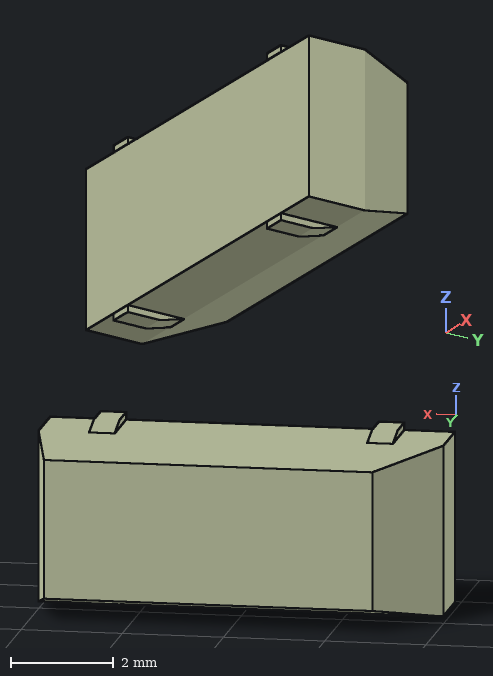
import cadquery as cq
import math

length = 8.0
depth = 2.5
height = 3.4
block_depth = 1.3
draft_angle = 15.0
bevel_angle = 45.0

overall_height = 3.7
pad_width = 0.5
pad_pitch = 5.5
pad_center_x = length / 2

draft_slope = math.tan(math.radians(draft_angle))
bevel_slope = math.tan(math.radians(bevel_angle))
pad_thickness = (overall_height - height) / 2


def make_housing():
    """Intersect the plan outline with the side outline, each tapered behind the block."""
    cap_depth = depth - block_depth
    draft_inset = cap_depth * draft_slope
    bevel_inset = cap_depth * bevel_slope
    half_height = height / 2

    plan = (
        cq.Workplane("XY")
        .polyline([
            (0, 0),
            (length, 0),
            (length, block_depth),
            (length - draft_inset, depth),
            (bevel_inset, depth),
            (0, block_depth),
        ])
        .close()
        .extrude(half_height, both=True)
    )
    side = (
        cq.Workplane("YZ")
        .polyline([
            (0, -half_height),
            (block_depth, -half_height),
            (depth, draft_inset - half_height),
            (depth, half_height - draft_inset),
            (block_depth, half_height),
            (0, half_height),
        ])
        .close()
        .extrude(length)
    )
    return plan.intersect(side)


def make_terminal(center_x, z_sign):
    """Pad lying on the top (z_sign = 1) or bottom (-1), sloping down to the taper line."""
    inner_z = z_sign * height / 2
    outer_z = z_sign * overall_height / 2
    flat_depth = block_depth - pad_thickness / draft_slope
    return (
        cq.Workplane("YZ", origin=(center_x, 0, 0))
        .polyline([
            (0, inner_z),
            (block_depth, inner_z),
            (flat_depth, outer_z),
            (0, outer_z),
        ])
        .close()
        .extrude(pad_width / 2, both=True)
    )


housing = make_housing()
terminals = [
    make_terminal(pad_center_x + x_sign * pad_pitch / 2, z_sign)
    for x_sign in (-1, 1)
    for z_sign in (-1, 1)
]

result = cq.Compound.makeCompound([housing.val(), *[terminal.val() for terminal in terminals]])